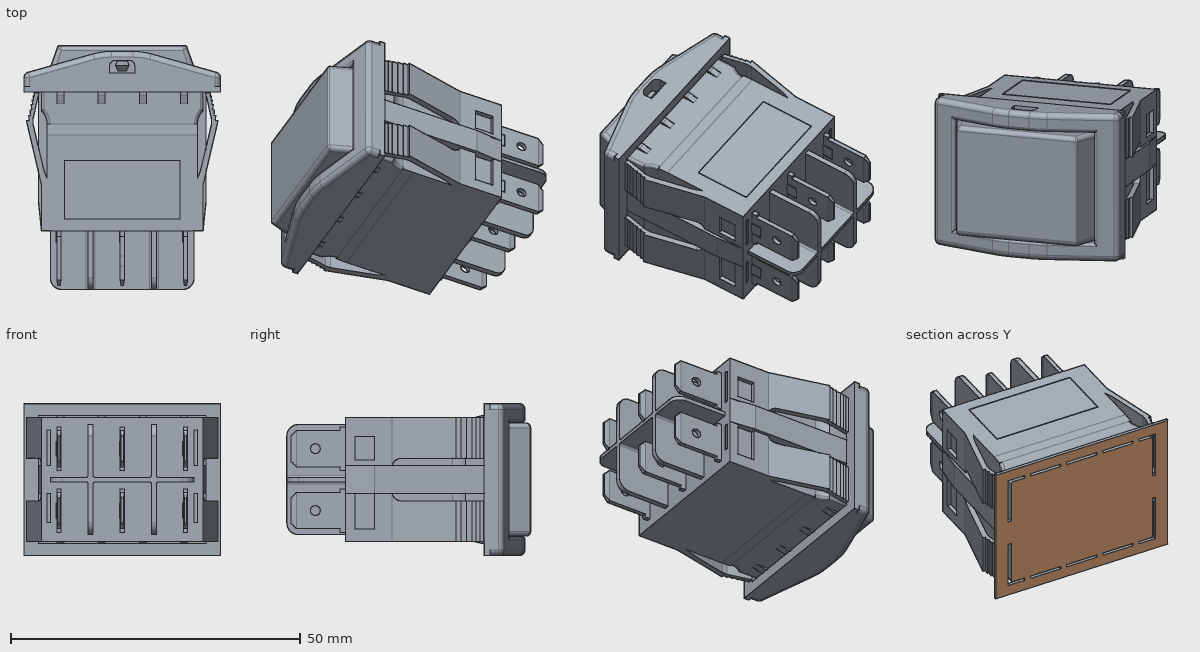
import cadquery as cq
import math


bezel_half_width = 17.0
bezel_half_height = 13.15
flange_thickness = 1.0
crown_y = 7.05
crown_flat_half_width = 1.9
crown_arc_radius = 11.5
roof_angle = math.radians(15.75)
bezel_edge_radius = 1.0

recess_half_width = 14.5
recess_half_height = 11.04

rocker_top_y = 8.05
rocker_top_half_width = 11.1
rocker_flare = 0.355
rocker_half_height = 9.8
rocker_side_radius = 0.85
rocker_top_radius = 0.3
opening_half_width = 12.8
opening_half_height = 9.9
opening_floor_y = 2.5
opening_rim_radius = 0.5

pocket_half_width = 2.17
pocket_low_y = 3.27
pocket_high_y = 5.5
pocket_corner_radius = 1.0
pocket_depth = 3.1
lug_low_y = 3.65
lug_ridge_y = 4.6
lug_high_y = 5.4
lug_height = 0.9
lug_low_half_width = 0.7
lug_ridge_half_width = 1.15
lug_high_half_width = 0.9

housing_length = 24.0
housing_half_width = 14.0
housing_half_height = 10.75
core_half_width = 13.0
neck_half_height = 10.65
neck_flare_start_y = -3.2
neck_end_y = -5.5
neck_ramp_end_y = -7.45
neck_edge_radius = 0.5

rib_centres_x = (-10.7, -3.57, 3.57, 10.7)
rib_width = 1.25
rib_flat_length = 0.5
rib_length = 2.0

label_width = 19.9
label_near_y = -11.85
label_far_y = -21.9
label_depth = 0.1

strip_half_width = 14.5
strip_half_height = 2.43
strip_taper_y = -19.0
arm_slot_z = 3.67
arm_slot_corner_radius = 1.6
hinge_y = -15.95
arm_end_y = -0.1
arm_tip_x = 16.6
arm_tip_y = -4.9
first_tooth_x = 15.3
tooth_lean = 0.23
tooth_depth = 0.32
arm_inner_end_x = 14.4
arm_bend_x = 15.4
arm_bend_y = (-4.6, -5.6)
arm_root_start = (13.8, -12.5)
arm_root_mid = (13.46, -13.75)
arm_root_end_y = -14.8
teeth_y = (arm_end_y, -0.7, -1.4, -2.1, -3.05, -4.0)

window_near_y = -19.0
window_far_y = -22.35
window_depth = 0.75
window_spans_z = ((3.4, 7.47), (-8.55, -strip_half_height))
end_recess_width = 0.6
end_recess_depth = 0.1
end_recess_spans_z = ((strip_half_height, 8.54), (-7.43, -strip_half_height))

barrier_end_y = -34.15
barrier_corner_radius = 2.0
barrier_root_radius = 0.35
flat_barrier_half_width = 12.45
flat_barrier_thickness = 0.75
upright_barrier_half_height = 9.53
upright_barrier_thickness = 0.9
upright_barrier_x = 5.48

terminal_pitch_x = 10.95
terminal_z = 5.35
blade_half_height = 3.15
blade_thickness = 0.75
blade_end_y = -33.45
blade_tip_chamfer = 1.0
blade_tip_thickness = 0.4
shoulder_half_height = 3.76
shoulder_length = 0.95
terminal_hole_diameter = 1.7
terminal_hole_y = -29.2
stop_half_height = 1.27
stop_length = 1.9
stop_thickness = 0.12


def block(x_range, y_range, z_range):
    """Box spanning the given (low, high) ranges."""
    sizes = [high - low for low, high in (x_range, y_range, z_range)]
    corner = (x_range[0], y_range[0], z_range[0])
    return cq.Workplane("XY").box(*sizes, centered=False).translate(corner)


def mirrored_pair(solid):
    """The solid together with its mirror image across the YZ plane."""
    return solid.union(solid.mirror("YZ"))


def make_bezel():
    """Peaked bezel with a flat crown, blended by arcs into two sloping sides."""
    roof_start_x = crown_flat_half_width + crown_arc_radius * math.sin(roof_angle)
    roof_start_y = crown_y - crown_arc_radius * (1 - math.cos(roof_angle))
    eave_y = roof_start_y - (bezel_half_width - roof_start_x) * math.tan(roof_angle)
    arc_mid_x = crown_flat_half_width + crown_arc_radius * math.sin(roof_angle / 2)
    arc_mid_y = crown_y - crown_arc_radius * (1 - math.cos(roof_angle / 2))
    cover = (
        cq.Workplane("XY")
        .moveTo(-bezel_half_width, flange_thickness)
        .lineTo(-bezel_half_width, eave_y)
        .lineTo(-roof_start_x, roof_start_y)
        .threePointArc((-arc_mid_x, arc_mid_y), (-crown_flat_half_width, crown_y))
        .lineTo(crown_flat_half_width, crown_y)
        .threePointArc((arc_mid_x, arc_mid_y), (roof_start_x, roof_start_y))
        .lineTo(bezel_half_width, eave_y)
        .lineTo(bezel_half_width, flange_thickness)
        .close()
        .extrude(bezel_half_height, both=True)
        .edges("not(<Y)")
        .fillet(bezel_edge_radius)
    )
    opening = block(
        (-opening_half_width, opening_half_width),
        (opening_floor_y, rocker_top_y),
        (-opening_half_height, opening_half_height),
    )
    rim_reach_x = opening_half_width + opening_rim_radius
    rim_reach_z = opening_half_height + opening_rim_radius
    rim_low_y = opening_floor_y + opening_rim_radius
    rim_selector = cq.selectors.BoxSelector(
        (-rim_reach_x, rim_low_y, -rim_reach_z),
        (rim_reach_x, rocker_top_y, rim_reach_z),
    )
    cover = cover.cut(opening)
    cover = cover.edges(rim_selector).edges("not(|Y)").fillet(opening_rim_radius)
    flange = block(
        (-bezel_half_width, bezel_half_width),
        (0, flange_thickness),
        (-bezel_half_height, bezel_half_height),
    )
    recess = block(
        (-recess_half_width, recess_half_width),
        (0, flange_thickness),
        (-recess_half_height, recess_half_height),
    )
    return cover.union(flange.cut(recess))


def make_rocker():
    """Rocker with flared ends, rising from the floor of the bezel opening."""
    base_half_width = rocker_top_half_width + rocker_flare * (rocker_top_y - opening_floor_y)
    return (
        cq.Workplane("XY")
        .polyline([
            (-base_half_width, opening_floor_y),
            (-rocker_top_half_width, rocker_top_y),
            (rocker_top_half_width, rocker_top_y),
            (base_half_width, opening_floor_y),
        ])
        .close()
        .extrude(rocker_half_height, both=True)
        .edges("|Z and >Y")
        .fillet(rocker_top_radius)
        .edges("not(|Z or <Y)")
        .fillet(rocker_side_radius)
    )


def make_pocket():
    """Arched pocket, less the lug that is left standing on its floor."""
    floor_z = bezel_half_height - pocket_depth
    pocket = block(
        (-pocket_half_width, pocket_half_width),
        (pocket_low_y, pocket_high_y),
        (floor_z, bezel_half_height),
    )
    pocket = pocket.edges("|Z and >Y").fillet(pocket_corner_radius)
    lug_outline = [
        (-lug_low_half_width, lug_low_y),
        (-lug_ridge_half_width, lug_ridge_y),
        (-lug_high_half_width, lug_high_y),
        (lug_high_half_width, lug_high_y),
        (lug_ridge_half_width, lug_ridge_y),
        (lug_low_half_width, lug_low_y),
    ]
    lug = cq.Workplane("XY").workplane(offset=floor_z).polyline(lug_outline).close().extrude(lug_height)
    wedge = (
        cq.Workplane("YZ")
        .polyline([
            (lug_low_y, floor_z),
            (lug_ridge_y, floor_z + lug_height),
            (lug_high_y, floor_z + lug_height),
            (lug_high_y, floor_z),
        ])
        .close()
        .extrude(lug_ridge_half_width, both=True)
    )
    return pocket.cut(lug.intersect(wedge))


def make_housing():
    """Flared neck, a shallow ramp up to the full height, then the straight core."""
    flare_width = housing_half_width - core_half_width
    flare_length = neck_flare_start_y - neck_end_y
    flare_angle = 2 * math.atan2(flare_width, flare_length)
    flare_radius = flare_length / math.sin(flare_angle)
    flare_mid_x = core_half_width + flare_radius * (1 - math.cos(flare_angle / 2))
    flare_mid_y = neck_end_y + flare_radius * math.sin(flare_angle / 2)
    neck = (
        cq.Workplane("XY")
        .moveTo(-housing_half_width, flange_thickness)
        .lineTo(-housing_half_width, neck_flare_start_y)
        .threePointArc((-flare_mid_x, flare_mid_y), (-core_half_width, neck_end_y))
        .lineTo(core_half_width, neck_end_y)
        .threePointArc((flare_mid_x, flare_mid_y), (housing_half_width, neck_flare_start_y))
        .lineTo(housing_half_width, flange_thickness)
        .close()
        .extrude(neck_half_height, both=True)
        .edges("not(|Z or <Y or >Y)")
        .fillet(neck_edge_radius)
    )
    core = (
        cq.Workplane("YZ")
        .polyline([
            (neck_end_y, -neck_half_height),
            (neck_end_y, neck_half_height),
            (neck_ramp_end_y, housing_half_height),
            (-housing_length, housing_half_height),
            (-housing_length, -housing_half_height),
            (neck_ramp_end_y, -housing_half_height),
        ])
        .close()
        .extrude(core_half_width, both=True)
    )
    label = block(
        (-label_width / 2, label_width / 2),
        (label_far_y, label_near_y),
        (housing_half_height - label_depth, housing_half_height),
    )
    return neck.union(core).cut(label)


def make_ribs():
    """Tapered ribs on the upper and lower faces of the neck."""
    profile = [
        (flange_thickness, 0),
        (flange_thickness, recess_half_height),
        (-rib_flat_length, recess_half_height),
        (-rib_length, neck_half_height),
        (-rib_length, 0),
    ]
    rib = cq.Workplane("YZ").polyline(profile).close().extrude(rib_width / 2, both=True)
    rib = rib.union(rib.mirror("XY"))
    ribs = cq.Workplane("XY")
    for x in rib_centres_x:
        ribs = ribs.add(rib.translate((x, 0, 0)))
    return ribs.combine()


def make_clip_arms():
    """Pair of toothed spring arms on the +X side, joined by the plate behind the hinge."""
    outline = [(core_half_width, -housing_length), (housing_half_width, -housing_length)]
    outline += [(housing_half_width, hinge_y), (arm_tip_x, arm_tip_y)]
    valley_y = arm_tip_y
    for y in reversed(teeth_y):
        tooth_x = first_tooth_x + tooth_lean * (arm_end_y - y)
        outline.append((tooth_x + tooth_lean - tooth_depth, valley_y))
        outline.append((tooth_x, y))
        valley_y = y
    outline += [(arm_inner_end_x, arm_end_y), (arm_bend_x, arm_bend_y[0]), (arm_bend_x, arm_bend_y[1])]
    outline.append(arm_root_start)
    arms = (
        cq.Workplane("XY")
        .polyline(outline)
        .threePointArc(arm_root_mid, (core_half_width, arm_root_end_y))
        .close()
        .extrude(housing_half_height, both=True)
    )
    slot = block((core_half_width, arm_tip_x), (hinge_y, 0), (-arm_slot_z, arm_slot_z))
    slot = slot.edges("|X and <Y").fillet(arm_slot_corner_radius)
    return arms.cut(slot)


def make_strip():
    """Raised strip along the middle of the +X side, tapering to the end of the housing."""
    return (
        cq.Workplane("XY")
        .polyline([
            (0, flange_thickness),
            (strip_half_width, flange_thickness),
            (strip_half_width, strip_taper_y),
            (housing_half_width, -housing_length),
            (0, -housing_length),
        ])
        .close()
        .extrude(strip_half_height, both=True)
    )


def make_side_recesses():
    """Latch windows and end-face recesses of the +X side."""
    recesses = cq.Workplane("XY")
    for span in window_spans_z:
        depth_range = (housing_half_width - window_depth, housing_half_width)
        recesses = recesses.add(block(depth_range, (window_far_y, window_near_y), span))
    for span in end_recess_spans_z:
        width_range = (core_half_width - end_recess_width, core_half_width)
        length_range = (-housing_length, end_recess_depth - housing_length)
        recesses = recesses.add(block(width_range, length_range, span))
    return recesses.combine()


def make_barriers():
    """One flat barrier crossed by two upright ones, with rounded outer corners and roots."""
    length_range = (barrier_end_y, -housing_length)
    half_thickness = flat_barrier_thickness / 2
    flat = block(
        (-flat_barrier_half_width, flat_barrier_half_width),
        length_range,
        (-half_thickness, half_thickness),
    )
    barriers = flat.edges("|Z and <Y").fillet(barrier_corner_radius)
    for x in (-upright_barrier_x, upright_barrier_x):
        upright = block(
            (x - upright_barrier_thickness / 2, x + upright_barrier_thickness / 2),
            length_range,
            (-upright_barrier_half_height, upright_barrier_half_height),
        )
        barriers = barriers.union(upright.edges("|X and <Y").fillet(barrier_corner_radius))
    reach = upright_barrier_x + upright_barrier_thickness
    root_selector = cq.selectors.BoxSelector(
        (-reach, barrier_end_y, -flat_barrier_thickness),
        (reach, -housing_length, flat_barrier_thickness),
    )
    return barriers.edges("|Y").edges(root_selector).fillet(barrier_root_radius)


def make_terminal():
    """Blade terminal centred on X = 0, Z = 0, with a shoulder, a stop and a bevelled tip."""
    shoulder_end_y = -housing_length - shoulder_length
    bevel_start_y = blade_end_y + blade_tip_chamfer
    half_thickness = blade_thickness / 2
    blade = block(
        (-half_thickness, half_thickness),
        (blade_end_y, -housing_length),
        (-blade_half_height, blade_half_height),
    )
    blade = blade.edges("|X and <Y").chamfer(blade_tip_chamfer)
    taper = (
        cq.Workplane("XY")
        .polyline([
            (-half_thickness, -housing_length),
            (-half_thickness, bevel_start_y),
            (-blade_tip_thickness / 2, blade_end_y),
            (blade_tip_thickness / 2, blade_end_y),
            (half_thickness, bevel_start_y),
            (half_thickness, -housing_length),
        ])
        .close()
        .extrude(blade_half_height, both=True)
    )
    shoulder = block(
        (-half_thickness, half_thickness),
        (shoulder_end_y, -housing_length),
        (-shoulder_half_height, shoulder_half_height),
    )
    stop = block(
        (-half_thickness - stop_thickness, 0),
        (-housing_length - stop_length, -housing_length),
        (-stop_half_height, stop_half_height),
    )
    hole = (
        cq.Workplane("YZ")
        .center(terminal_hole_y, 0)
        .circle(terminal_hole_diameter / 2)
        .extrude(blade_thickness, both=True)
    )
    return blade.intersect(taper).union(shoulder).union(stop).cut(hole)


def make_terminals():
    """Two rows of three terminals."""
    terminal = make_terminal()
    terminals = cq.Workplane("XY")
    for x in (-terminal_pitch_x, 0, terminal_pitch_x):
        for z in (-terminal_z, terminal_z):
            terminals = terminals.add(terminal.translate((x, 0, z)))
    return terminals.combine()


bezel = make_bezel().union(make_rocker()).cut(make_pocket())
housing = make_housing().union(make_ribs())
housing = housing.union(mirrored_pair(make_clip_arms())).union(mirrored_pair(make_strip()))
housing = housing.cut(mirrored_pair(make_side_recesses()))
result = bezel.union(housing).union(make_barriers()).union(make_terminals())